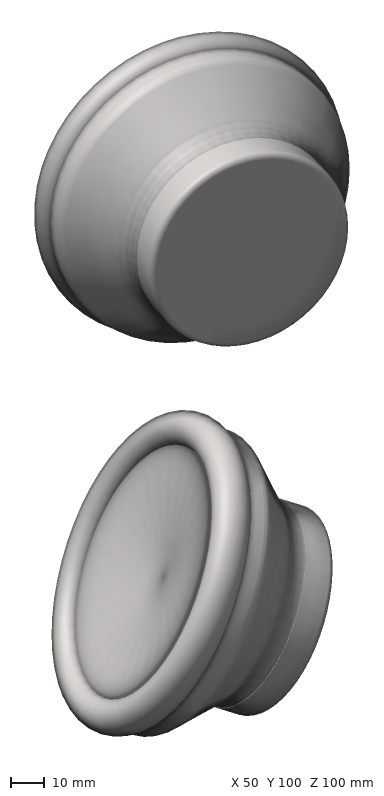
import cadquery as cq

OUTER_RADIUS = 50.0
TOTAL_LENGTH = 50.0

RING_RADIAL_HALF = 5.6
RING_AXIAL_HALF = 5.9
RING_CENTRE_RADIUS = OUTER_RADIUS - RING_RADIAL_HALF
RING_CENTRE_X = RING_AXIAL_HALF

RIM_RADIUS = 95.0 / 2
RIM_END_X = 15.7
FLARE_START_X = 18.6
FLARE_START_RADIUS = 46.4
FLARE_END_X = 32.9
FLARE_END_RADIUS = 34.6

NECK_RADIUS = 64.6 / 2
NECK_START_X = 39.0
COLLAR_RADIUS = 65.0 / 2
COLLAR_START_X = 39.7
BACK_FILLET = 2.0

RECESS_RADIUS = 41.0
RECESS_EDGE_X = 3.7
RECESS_APEX_X = 10.3

RIM_FRONT_X = RING_CENTRE_X


def make_ring():
    """Solid ring of oval section centred on the X axis."""
    return (
        cq.Workplane("XY")
        .center(RING_CENTRE_X, RING_CENTRE_RADIUS)
        .ellipse(RING_AXIAL_HALF, RING_RADIAL_HALF)
        .revolve(360, (0, -RING_CENTRE_RADIUS, 0), (1, -RING_CENTRE_RADIUS, 0))
    )


def make_housing(ring):
    """Flared body of revolution with a conical recess and a seat for the ring."""
    profile = (
        cq.Workplane("XY")
        .moveTo(RECESS_APEX_X, 0)
        .lineTo(RECESS_EDGE_X, RECESS_RADIUS)
        .lineTo(RIM_FRONT_X, RIM_RADIUS)
        .lineTo(RIM_END_X, RIM_RADIUS)
        .tangentArcPoint((FLARE_START_X, FLARE_START_RADIUS), relative=False)
        .lineTo(FLARE_END_X, FLARE_END_RADIUS)
        .tangentArcPoint((NECK_START_X, NECK_RADIUS), relative=False)
        .lineTo(COLLAR_START_X, NECK_RADIUS)
        .lineTo(COLLAR_START_X, COLLAR_RADIUS)
        .lineTo(TOTAL_LENGTH, COLLAR_RADIUS)
        .lineTo(TOTAL_LENGTH, 0)
        .close()
    )
    body = profile.revolve(360, (0, 0, 0), (1, 0, 0))
    return body.faces(">X").edges().fillet(BACK_FILLET).cut(ring)


ring = make_ring()
housing = make_housing(ring)
result = cq.Compound.makeCompound([ring.val(), housing.val()])